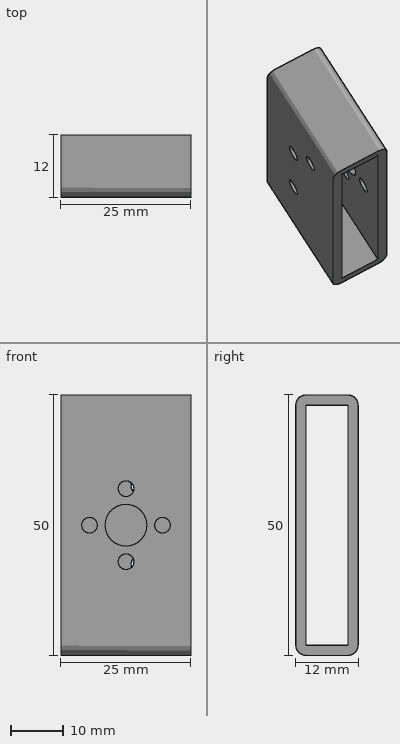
import cadquery as cq

length = 25.0
depth = 12.0
height = 50.0
wall = 2.0
corner_radius = wall

center_hole_diameter = 8.0
screw_hole_diameter = 3.0
screw_offset = 7.0

back_pair_x = 2.5
back_pair_offset_z = 7.5
back_upper_x = -4.0
back_upper_z = 14.7


def make_tube():
    """Tube with rounded outer edges and a sharp-cornered inner passage."""
    outer = cq.Workplane("XY").box(length, depth, height).edges("|X").fillet(corner_radius)
    passage = cq.Workplane("XY").box(length, depth - 2 * wall, height - 2 * wall)
    return outer.cut(passage)


def wall_holes(start_y, points, diameter):
    """Cylinders along +Y, one wall thick, starting at start_y; points are (x, z)."""
    plane = cq.Workplane("XZ", origin=(0, start_y, 0))
    return plane.pushPoints(points).circle(diameter / 2).extrude(-wall)


front_y = -depth / 2
back_inner_y = depth / 2 - wall

screw_points = [(-screw_offset, 0), (screw_offset, 0), (0, -screw_offset), (0, screw_offset)]
back_points = [
    (back_pair_x, -back_pair_offset_z),
    (back_pair_x, back_pair_offset_z),
    (back_upper_x, back_upper_z),
]

result = (
    make_tube()
    .cut(wall_holes(front_y, [(0, 0)], center_hole_diameter))
    .cut(wall_holes(front_y, screw_points, screw_hole_diameter))
    .cut(wall_holes(back_inner_y, back_points, screw_hole_diameter))
)